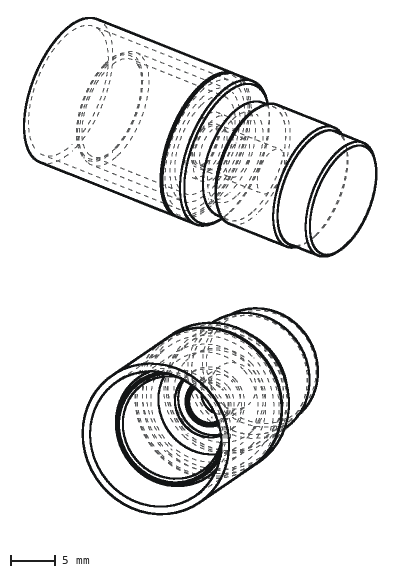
import cadquery as cq
import math

overall_length = 38.2

shell_diameter = 17.55
shell_bore_diameter = 15.75
shell_length = 19.0

sleeve_start = 5.73
sleeve_radius = 6.88
sleeve_bore_radius = 5.95
sleeve_chamfer = 0.35
sleeve_lead_length = 0.6

collar_radius = shell_diameter / 2
collar_start = shell_length
collar_end = 22.05
collar_front_chamfer = 0.25
collar_rear_chamfer = 0.35

neck_radius = 5.5
neck_fillet = 0.2

head_start = 23.2
head_radius = 6.9
head_front_round = 0.8
head_rear_chamfer = 0.35
band_start = 25.33
band_end = 33.95
band_height = 0.4
band_chamfer = 0.35

floor_position = collar_start
contact_radius = 2.7
contact_length = 9.15
recess_radius = 3.97
recess_depth = 1.15
socket_radius = 2.33
socket_chamfer = 0.15
socket_depth = 4.6
drill_point_angle = 118.0


def disc(start, end, radius):
    """Solid cylinder along X between two positions."""
    return cq.Workplane("YZ", origin=(start, 0, 0)).circle(radius).extrude(end - start)


def turn(profile):
    """Revolve a profile of axial and radial coordinates about the X axis."""
    return profile.close().revolve(360, (0, 0, 0), (1, 0, 0))


def make_shell():
    bore = disc(0, shell_length, shell_bore_diameter / 2)
    return disc(0, shell_length, shell_diameter / 2).cut(bore)


def make_sleeve():
    """Sleeve blank with a slender lead-in taper on the outside of its mouth."""
    return turn(
        cq.Workplane("XY")
        .moveTo(sleeve_start, 0)
        .lineTo(sleeve_start, sleeve_radius - sleeve_chamfer)
        .lineTo(sleeve_start + sleeve_lead_length, sleeve_radius)
        .lineTo(collar_start, sleeve_radius)
        .lineTo(collar_start, 0)
    )


def make_collar():
    collar = disc(collar_start, collar_end, collar_radius)
    return collar.faces("<X").chamfer(collar_front_chamfer).faces(">X").chamfer(collar_rear_chamfer)


def make_neck():
    """Neck with a fillet that flares into the rear face of the collar."""
    return turn(
        cq.Workplane("XY")
        .moveTo(collar_end, 0)
        .lineTo(collar_end, neck_radius + neck_fillet)
        .radiusArc((collar_end + neck_fillet, neck_radius), -neck_fillet)
        .lineTo(head_start, neck_radius)
        .lineTo(head_start, 0)
    )


def make_head():
    head = disc(head_start, overall_length, head_radius)
    head = head.faces("<X").edges().fillet(head_front_round)
    head = head.faces(">X").chamfer(head_rear_chamfer)
    band = disc(band_start, band_end, head_radius + band_height)
    band = band.faces("<X or >X").chamfer(band_chamfer)
    return head.union(band)


def make_sleeve_bore():
    """Cutter for the sleeve bore and its chamfered mouth."""
    return turn(
        cq.Workplane("XY")
        .moveTo(sleeve_start, 0)
        .lineTo(sleeve_start, sleeve_bore_radius + sleeve_chamfer)
        .lineTo(sleeve_start + sleeve_chamfer, sleeve_bore_radius)
        .lineTo(floor_position, sleeve_bore_radius)
        .lineTo(floor_position, 0)
    )


def make_connector():
    connector = make_collar().union(make_sleeve()).union(make_neck()).union(make_head())
    recess = disc(floor_position, floor_position + recess_depth, recess_radius)
    seat = disc(floor_position, floor_position + contact_length, contact_radius)
    return connector.cut(make_sleeve_bore()).cut(recess).cut(seat)


def make_contact():
    socket_end = floor_position + socket_depth
    drill_tip = socket_end + socket_radius / math.tan(math.radians(drill_point_angle / 2))
    socket = turn(
        cq.Workplane("XY")
        .moveTo(floor_position, 0)
        .lineTo(floor_position, socket_radius + socket_chamfer)
        .lineTo(floor_position + socket_chamfer, socket_radius)
        .lineTo(socket_end, socket_radius)
        .lineTo(drill_tip, 0)
    )
    return disc(floor_position, floor_position + contact_length, contact_radius).cut(socket)


shell = make_shell()
connector = make_connector()
contact = make_contact()

result = cq.Compound.makeCompound([shell.val(), connector.val(), contact.val()])